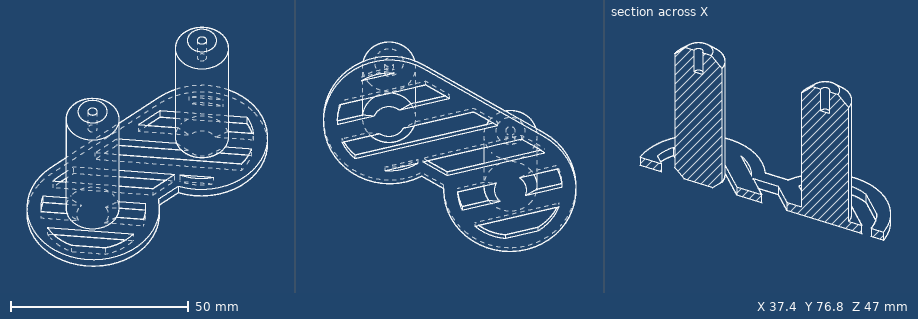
import cadquery as cq

plate_length = 76.85
plate_width = 37.35
plate_thickness = 3.0
rim_width = 3.9
web_right = 9.4

pin_diameter = 15.0
pin_tip_diameter = 8.15
pin_tip_height = 3.45
pin_spacing = 39.95
total_height = 47.0
pin_hole_diameter = 2.6
pin_hole_depth = 7.7

end_radius = plate_width / 2
end_spacing = plate_length - plate_width
pitches_per_end_spacing = 5
bar_pitch = end_spacing / pitches_per_end_spacing


def plate_body(inset):
    """Plate outline drawn inward by the inset and extruded to the plate thickness."""
    left = inset - end_radius
    right = web_right - inset
    body = (
        cq.Workplane("XY")
        .center((left + right) / 2, 0)
        .rect(right - left, end_spacing)
        .extrude(plate_thickness)
    )
    for side in (-1, 1):
        end = (
            cq.Workplane("XY")
            .center(0, side * end_spacing / 2)
            .circle(end_radius - inset)
            .extrude(plate_thickness)
        )
        body = body.union(end)
    return body


def diagonal_bar(step):
    """45 degree bar whose lower edge crosses the Y axis at the given pitch step."""
    low = step * bar_pitch
    high = low + bar_pitch
    reach = plate_length
    corners = [
        (-reach, low - reach),
        (reach, low + reach),
        (reach, high + reach),
        (-reach, high - reach),
    ]
    return (
        cq.Workplane("XY")
        .polyline(corners)
        .close()
        .extrude(plate_thickness)
    )


def pin(y):
    """Upright pin with a conical tip, a tapered foot and a blind hole down its axis."""
    shoulder = total_height - pin_tip_height
    foot_radius = pin_diameter / 2 - plate_thickness
    hole_floor = total_height - pin_hole_depth
    profile = [
        (0, 0),
        (foot_radius, 0),
        (pin_diameter / 2, plate_thickness),
        (pin_diameter / 2, shoulder),
        (pin_tip_diameter / 2, total_height),
        (pin_hole_diameter / 2, total_height),
        (pin_hole_diameter / 2, hole_floor),
        (0, hole_floor),
    ]
    return (
        cq.Workplane("XZ")
        .polyline(profile)
        .close()
        .revolve(360, (0, 0, 0), (0, 1, 0))
        .translate((0, y, 0))
    )


openings = plate_body(rim_width)
for step in range(-6, 6, 2):
    openings = openings.cut(diagonal_bar(step))

result = plate_body(0).cut(openings)
for side in (-1, 1):
    result = result.union(pin(side * pin_spacing / 2))